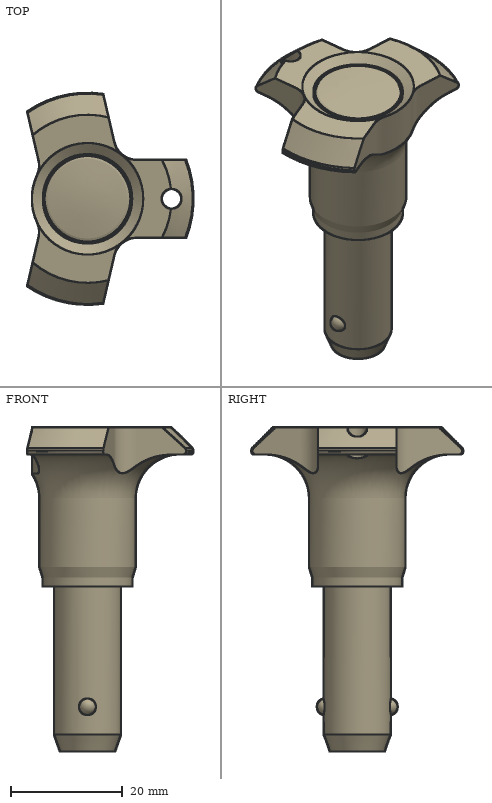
import cadquery as cq
import math

total_height = 58.1
shank_radius = 6.05
tip_radius = 4.95
tip_height = 3.1

lip_bottom = 29.5
lip_height = 1.6
lip_radius = 8.1
collar_radius = 8.65
taper_height = 1.85

rim_radius = 19.0
rim_bottom = 53.15
rim_rounding = 0.6
rim_wall = 0.2
flare_radius = 7.8
bevel_size = 3.8
arm_width = 14.0
side_arm_angle = 103.1
hub_radius = 10.0
web_fillet = 4.0
lanyard_hole_radius = 1.75
lanyard_hole_distance = 15.05

dish_depth = 1.2
dish_floor_radius = 8.0
groove_depth = 0.35
button_radius = 7.65
button_face_radius = 7.15
button_edge_drop = 1.05
dome_height = 0.5

ball_radius = 1.5
ball_height = 8.0
ball_reach = 7.25

lip_top = lip_bottom + lip_height
flare_start = rim_bottom - flare_radius
arm_angles = (0, side_arm_angle, -side_arm_angle)


def make_shank():
    return (
        cq.Workplane("XZ")
        .lineTo(tip_radius, 0)
        .lineTo(shank_radius, tip_height)
        .lineTo(shank_radius, lip_bottom)
        .lineTo(lip_radius, lip_bottom)
        .lineTo(lip_radius, lip_top)
        .lineTo(collar_radius, lip_top + taper_height)
        .lineTo(collar_radius, flare_start)
        .lineTo(0, flare_start)
        .close()
        .revolve(360, (0, 0), (0, 1))
    )


def make_flared_head():
    """Full round head: concave flare below, rounded rim and 45 degree bevel above."""
    diagonal = flare_radius * math.sqrt(0.5)
    flare_center_x = collar_radius + flare_radius
    rounding_diagonal = rim_rounding * math.sqrt(0.5)
    rounding_x = rim_radius - rim_rounding
    rounding_z = rim_bottom + rim_rounding
    rim_top = total_height - bevel_size
    return (
        cq.Workplane("XZ")
        .moveTo(0, flare_start)
        .lineTo(collar_radius, flare_start)
        .threePointArc(
            (flare_center_x - diagonal, flare_start + diagonal),
            (flare_center_x, rim_bottom),
        )
        .lineTo(rounding_x, rim_bottom)
        .threePointArc(
            (rounding_x + rounding_diagonal, rounding_z - rounding_diagonal),
            (rim_radius, rounding_z),
        )
        .lineTo(rim_radius, rounding_z + rim_wall)
        .lineTo(rim_radius - rim_wall, rim_top)
        .lineTo(rim_radius - rim_wall - bevel_size, total_height)
        .lineTo(0, total_height)
        .close()
        .revolve(360, (0, 0), (0, 1))
    )


def make_arm_outline():
    """Vertical prism of the three arms and hub, with rounded inside corners."""
    height = total_height - flare_start
    base = cq.Workplane("XY").workplane(offset=flare_start)
    arm_length = rim_radius + arm_width
    arms = None
    for angle in arm_angles:
        arm = base.rect(arm_length, arm_width).extrude(height)
        arm = arm.translate((arm_length / 2, 0, 0))
        arm = arm.rotate((0, 0, 0), (0, 0, 1), angle)
        arms = arm if arms is None else arms.union(arm)

    half_angle = math.radians(side_arm_angle / 2)
    corner_distance = arm_width / 2 / math.sin(half_angle)
    mid_height = flare_start + height / 2
    for side in (1, -1):
        corner = (
            corner_distance * math.cos(half_angle),
            side * corner_distance * math.sin(half_angle),
            mid_height,
        )
        arms = arms.edges(cq.selectors.NearestToPointSelector(corner)).fillet(web_fillet)

    outline = arms.union(base.circle(hub_radius).extrude(height))

    hub_angle = math.radians(side_arm_angle) + math.asin(arm_width / 2 / hub_radius)
    for side in (1, -1):
        corner = (
            hub_radius * math.cos(hub_angle),
            side * hub_radius * math.sin(hub_angle),
            mid_height,
        )
        outline = outline.edges(cq.selectors.NearestToPointSelector(corner)).fillet(web_fillet)
    return outline


def make_dish_cutter():
    """Conical dish with a narrow groove around a slightly domed push button."""
    dish_floor = total_height - dish_depth
    groove_floor = dish_floor - groove_depth
    face_edge = total_height - button_edge_drop
    dome_sphere = (button_face_radius**2 + dome_height**2) / (2 * dome_height)
    mid_x = button_face_radius / 2
    mid_z = face_edge + dome_height - dome_sphere + math.sqrt(dome_sphere**2 - mid_x**2)
    return (
        cq.Workplane("XZ")
        .moveTo(0, total_height)
        .lineTo(hub_radius, total_height)
        .lineTo(dish_floor_radius, dish_floor)
        .lineTo(dish_floor_radius, groove_floor)
        .lineTo(button_radius, groove_floor)
        .lineTo(button_radius, dish_floor)
        .lineTo(button_face_radius, face_edge)
        .threePointArc((mid_x, mid_z), (0, face_edge + dome_height))
        .close()
        .revolve(360, (0, 0), (0, 1))
    )


def make_lanyard_hole():
    return (
        cq.Workplane("XY")
        .workplane(offset=flare_start)
        .center(lanyard_hole_distance, 0)
        .circle(lanyard_hole_radius)
        .extrude(total_height - flare_start)
    )


def make_ball(side):
    center_y = side * (ball_reach - ball_radius)
    return cq.Workplane("XY").sphere(ball_radius).translate((0, center_y, ball_height))


head = make_flared_head().intersect(make_arm_outline())
head = head.cut(make_dish_cutter()).cut(make_lanyard_hole())
result = make_shank().union(head)
for ball_side in (1, -1):
    result = result.union(make_ball(ball_side))